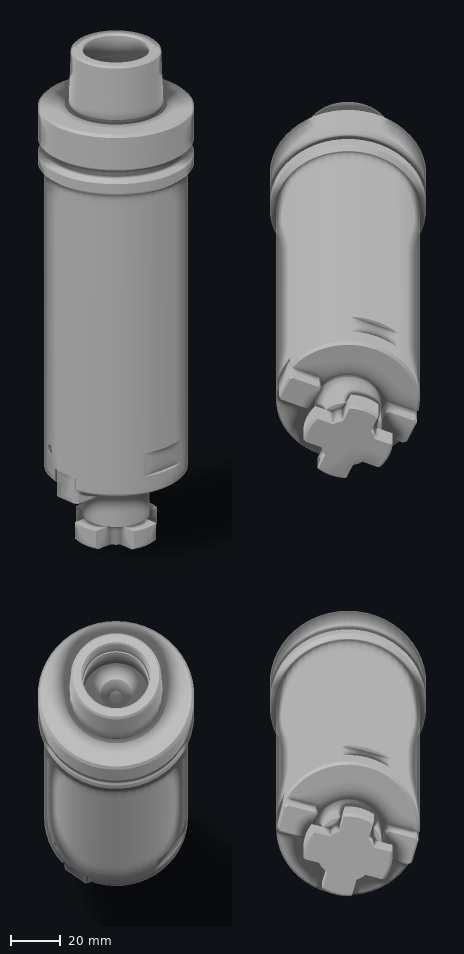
import cadquery as cq
import math

TOTAL_HEIGHT = 214.0
FLANGE_TOP = 189.5
UPPER_RIM_BOTTOM = 174.6
GROOVE_TOP = 173.3
GROOVE_BOTTOM = 170.0
LOWER_RIM_TOP = 168.2
LOWER_RIM_BOTTOM = 164.0
FLANGE_BOTTOM = 162.5
BODY_BOTTOM = 29.0
PILOT_BOTTOM = 9.0
LOBE_TOP = 8.3

TAPER_TOP_RADIUS = 18.2
TAPER_BASE_RADIUS = 19.0
TAPER_BASE = 190.9
NOSE_CHAMFER = 0.9
NECK_RADIUS = 18.5
RELIEF_RADIUS = 20.5
RELIEF_DEPTH = 1.0
BORE_RADIUS = 13.5
BORE_CHAMFER = 0.6
BORE_LEDGE_DEPTH = 9.5
INNER_BORE_RADIUS = 13.0
BORE_DEPTH = 23.5
CENTRE_MOUTH_RADIUS = 6.2
CENTRE_FLOOR_RADIUS = 2.5

FLANGE_RADIUS = 31.5
FLANGE_CHAMFER = 1.0
RIM_EDGE_RADIUS = 29.5
GROOVE_RADIUS = 27.5
BODY_RADIUS = 28.9
BODY_CHAMFER = 1.0
PILOT_RADIUS = 13.5
PILOT_RELIEF_HEIGHT = 1.5
PILOT_RELIEF_DEPTH = 0.5

FLAT_DISTANCE = 27.0
FLAT_BOTTOM = 37.0
FLAT_HEIGHT = 10.3

PLUG_OFFSET = 10.0
PLUG_Z = 42.4
PLUG_HOLE_RADIUS = 2.0
PLUG_HOLE_DEPTH = 1.7
DOME_RADIUS = 1.3

LOBE_RADIUS = 18.0
LOBE_WIDTH = 12.2
HEAD_CORE_RADIUS = 11.0
HEAD_CHAMFER = 1.0

KEY_COUNT = 2
KEY_WIDTH = 12.6
KEY_BOTTOM = 23.1
KEY_TOP = 35.5
KEY_INNER = 14.1
KEY_OUTER = 28.0
KEY_SIDE_CHAMFER = 1.3
KEY_END_CHAMFER = 0.6


def revolve_profile(points):
    """Turn a closed (radius, z) outline around the Z axis."""
    return cq.Workplane("YZ").polyline(points).close().revolve(360, (0, 0), (0, 1))


def key_angles():
    return [index * 360 / KEY_COUNT for index in range(KEY_COUNT)]


def turned_blank():
    """Taper nose, grooved flange, long body and pilot as one turned shape."""
    relief_floor = FLANGE_TOP - RELIEF_DEPTH
    relief_bottom = BODY_BOTTOM - PILOT_RELIEF_HEIGHT
    pilot_relief_radius = PILOT_RADIUS - PILOT_RELIEF_DEPTH
    return revolve_profile([
        (0, TOTAL_HEIGHT),
        (TAPER_TOP_RADIUS - NOSE_CHAMFER, TOTAL_HEIGHT),
        (TAPER_TOP_RADIUS, TOTAL_HEIGHT - NOSE_CHAMFER),
        (TAPER_BASE_RADIUS, TAPER_BASE),
        (NECK_RADIUS, TAPER_BASE - (TAPER_BASE_RADIUS - NECK_RADIUS)),
        (NECK_RADIUS, relief_floor),
        (RELIEF_RADIUS, relief_floor),
        (RELIEF_RADIUS, FLANGE_TOP),
        (FLANGE_RADIUS - FLANGE_CHAMFER, FLANGE_TOP),
        (FLANGE_RADIUS, FLANGE_TOP - FLANGE_CHAMFER),
        (FLANGE_RADIUS, UPPER_RIM_BOTTOM),
        (RIM_EDGE_RADIUS, GROOVE_TOP),
        (GROOVE_RADIUS, GROOVE_TOP),
        (GROOVE_RADIUS, GROOVE_BOTTOM),
        (RIM_EDGE_RADIUS, GROOVE_BOTTOM),
        (FLANGE_RADIUS, LOWER_RIM_TOP),
        (FLANGE_RADIUS, LOWER_RIM_BOTTOM),
        (RIM_EDGE_RADIUS, FLANGE_BOTTOM),
        (BODY_RADIUS, FLANGE_BOTTOM),
        (BODY_RADIUS, BODY_BOTTOM + BODY_CHAMFER),
        (BODY_RADIUS - BODY_CHAMFER, BODY_BOTTOM),
        (pilot_relief_radius, BODY_BOTTOM),
        (pilot_relief_radius, relief_bottom),
        (PILOT_RADIUS, relief_bottom - PILOT_RELIEF_DEPTH),
        (PILOT_RADIUS, PILOT_BOTTOM),
        (0, PILOT_BOTTOM),
    ])


def nose_bore():
    """Stepped bore in the nose, ending in a flat-bottomed conical recess."""
    ledge = TOTAL_HEIGHT - BORE_LEDGE_DEPTH
    floor = TOTAL_HEIGHT - BORE_DEPTH
    cone_floor = floor - (CENTRE_MOUTH_RADIUS - CENTRE_FLOOR_RADIUS)
    return revolve_profile([
        (0, TOTAL_HEIGHT),
        (BORE_RADIUS + BORE_CHAMFER, TOTAL_HEIGHT),
        (BORE_RADIUS, TOTAL_HEIGHT - BORE_CHAMFER),
        (BORE_RADIUS, ledge),
        (INNER_BORE_RADIUS, ledge),
        (INNER_BORE_RADIUS, floor),
        (CENTRE_MOUTH_RADIUS, floor),
        (CENTRE_FLOOR_RADIUS, cone_floor),
        (0, cone_floor),
    ])


def wrench_flats():
    """Two blocks that cut the opposed flats on the -X and +X sides."""
    depth = BODY_RADIUS - FLAT_DISTANCE
    block = cq.Workplane("XY").box(depth, 2 * BODY_RADIUS, FLAT_HEIGHT, centered=(False, True, False))
    right = block.translate((FLAT_DISTANCE, 0, FLAT_BOTTOM))
    return right.union(right.mirror("YZ"))


def clamping_head():
    """Cross-shaped head: a round core with four lobes, chamfered at the bottom rim."""
    core = cq.Workplane("XY").circle(HEAD_CORE_RADIUS).extrude(PILOT_BOTTOM)
    disc = cq.Workplane("XY").circle(LOBE_RADIUS).extrude(LOBE_TOP).faces("<Z").chamfer(HEAD_CHAMFER)
    cross = (
        cq.Workplane("XY")
        .rect(2 * LOBE_RADIUS, LOBE_WIDTH)
        .extrude(LOBE_TOP)
        .union(cq.Workplane("XY").rect(LOBE_WIDTH, 2 * LOBE_RADIUS).extrude(LOBE_TOP))
    )
    return core.union(disc.intersect(cross))


def key_block():
    """Square-edged block filling the place of the front drive key."""
    return (
        cq.Workplane("XY")
        .box(KEY_WIDTH, KEY_OUTER - KEY_INNER, KEY_TOP - KEY_BOTTOM, centered=(True, False, False))
        .translate((0, -KEY_OUTER, KEY_BOTTOM))
    )


def key_slot():
    """Slot for the front drive key, open at the side and bottom of the body."""
    return (
        cq.Workplane("XY")
        .box(KEY_WIDTH, BODY_RADIUS - KEY_INNER, KEY_TOP - KEY_BOTTOM, centered=(True, False, False))
        .translate((0, -BODY_RADIUS, KEY_BOTTOM))
    )


def add_plug(body):
    """Drill the small radial hole and leave a dome standing on its floor."""
    depth_along_y = math.sqrt(BODY_RADIUS**2 - PLUG_OFFSET**2)
    outward = cq.Vector(-PLUG_OFFSET, -depth_along_y, 0).normalized()
    floor_centre = outward * (BODY_RADIUS - PLUG_HOLE_DEPTH) + cq.Vector(0, 0, PLUG_Z)
    hole = cq.Solid.makeCylinder(PLUG_HOLE_RADIUS, 2 * PLUG_HOLE_DEPTH, floor_centre, outward)
    dome = cq.Workplane("XY").sphere(DOME_RADIUS).translate(floor_centre)
    return body.cut(cq.Workplane(hole)).union(dome)


def make_arbor():
    arbor = turned_blank().cut(nose_bore()).cut(wrench_flats())
    for angle in key_angles():
        arbor = arbor.cut(key_slot().rotate((0, 0, 0), (0, 0, 1), angle))
    return add_plug(arbor).union(clamping_head())


def make_drive_key(angle):
    """Key with broad chamfers on its upright edges and fine ones around both ends."""
    key = key_block().edges("|Z").chamfer(KEY_SIDE_CHAMFER)
    key = key.faces("<Z or >Z").chamfer(KEY_END_CHAMFER)
    return key.rotate((0, 0, 0), (0, 0, 1), angle)


arbor = make_arbor()
drive_keys = [make_drive_key(angle) for angle in key_angles()]

result = cq.Compound.makeCompound([arbor.val(), *[key.val() for key in drive_keys]])